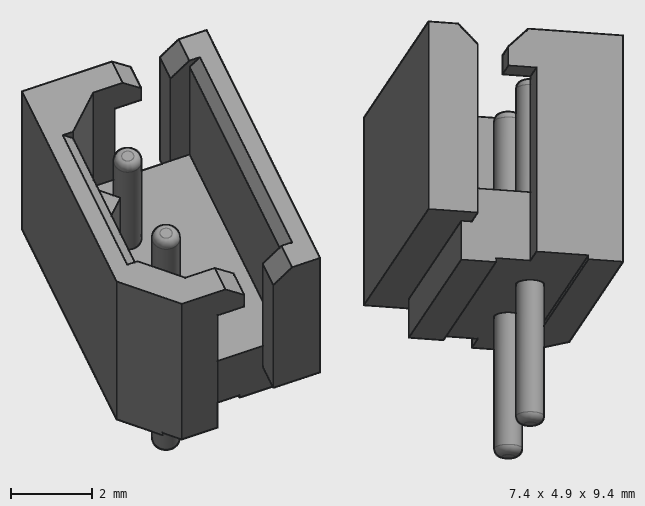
import cadquery as cq


width = 7.4
depth = 4.9
height = 5.88
corner_chamfer = 1.23

side_wall = 0.7
front_wall = 0.705
back_wall = 0.73
cavity_depth = 4.0
cavity_corner = 0.9
lead_in = 0.27
key_size = 0.4

shell_depth = 2.18
lip_reach = 2.89
lip_height = 1.0
post_depth = 1.24
entry_chamfer = 0.5

rear_height = 4.88
base_depth = 3.92
foot_height = 0.1
foot_length = 0.87

pin_diameter = 0.7
pin_pitch = 2.5
pin_y = 1.805
overall_height = 9.4
pin_tip_recess = 0.5
pin_rounding = 0.2

pin_length = overall_height - pin_tip_recess
pin_top = height - pin_tip_recess
center_x = width / 2
cavity_width = width - 2 * side_wall
cavity_back = depth - back_wall
cavity_front_width = cavity_width - 2 * cavity_corner
floor_z = height - cavity_depth
post_front = depth - post_depth
rear_bottom = height - rear_height
pin_positions = [(center_x - pin_pitch / 2, pin_y), (center_x + pin_pitch / 2, pin_y)]


def box(x_start, x_end, y_start, y_end, z_start, z_end):
    """Box between the given coordinates."""
    size = (x_end - x_start, y_end - y_start, z_end - z_start)
    return cq.Workplane("XY").box(*size, centered=False).translate((x_start, y_start, z_start))


def side_profile(points, x_start, length):
    """Extrude a closed (Y, Z) outline along X."""
    return cq.Workplane("YZ").workplane(offset=x_start).polyline(points).close().extrude(length)


def outer_block():
    """Full block with one bevelled front corner."""
    block = box(0, width, 0, depth, 0, height)
    return block.edges("|Z and >X and <Y").chamfer(corner_chamfer)


def cavity():
    """Mating cavity, narrowed by bevels at the two front corners."""
    cutter = box(side_wall, width - side_wall, front_wall, cavity_back, floor_z, height)
    return cutter.edges("|Z and <Y").chamfer(cavity_corner)


def lead_in_bevels():
    """Sloped cuts along the top inner edges of the front and back walls."""
    front = side_profile(
        [(front_wall, height - lead_in), (front_wall, height), (front_wall - lead_in, height)],
        center_x - cavity_front_width / 2,
        cavity_front_width,
    )
    back = side_profile(
        [(cavity_back, height - lead_in), (cavity_back, height), (cavity_back + lead_in, height)],
        side_wall,
        cavity_width,
    )
    return front.union(back)


def side_slot(x_start):
    """Slot through one side wall, with a lip at the mouth and bevelled entry edges."""
    outline = [
        (shell_depth, 0),
        (shell_depth, height - lip_height),
        (lip_reach, height - lip_height),
        (lip_reach, height - entry_chamfer),
        (lip_reach - entry_chamfer, height),
        (post_front + entry_chamfer, height),
        (post_front, height - entry_chamfer),
        (post_front, 0),
    ]
    return side_profile(outline, x_start, side_wall)


def underside_cuts():
    """Step below the back wall and relief between the front and rear feet."""
    step = box(0, width, base_depth, depth, 0, rear_bottom)
    for x_start in (0, width - side_wall):
        step = step.union(box(x_start, x_start + side_wall, post_front, depth, 0, rear_bottom))
    relief = box(0, width, foot_length, base_depth - foot_length, 0, foot_height)
    return step.union(relief)


def key_rib():
    """Triangular rib on the front wall, ending where the lead-in starts."""
    outline = [
        (center_x - key_size, front_wall),
        (center_x + key_size, front_wall),
        (center_x, front_wall + key_size),
    ]
    rib_height = cavity_depth - lead_in
    return cq.Workplane("XY").workplane(offset=floor_z).polyline(outline).close().extrude(rib_height)


def pin_holes():
    """Holes through the floor that hold the pins."""
    plane = cq.Workplane("XY").pushPoints(pin_positions)
    return plane.circle(pin_diameter / 2).extrude(floor_z)


def make_housing():
    body = outer_block().cut(cavity()).cut(lead_in_bevels())
    for x_start in (0, width - side_wall):
        body = body.cut(side_slot(x_start))
    return body.cut(underside_cuts()).union(key_rib()).cut(pin_holes())


def make_pin(x, y):
    """Round pin with both ends rounded."""
    pin = cq.Workplane("XY").circle(pin_diameter / 2).extrude(-pin_length)
    return pin.faces("<Z or >Z").edges().fillet(pin_rounding).translate((x, y, pin_top))


housing = make_housing()
pins = [make_pin(x, y) for x, y in pin_positions]

result = cq.Compound.makeCompound([housing.solids().val(), *[pin.val() for pin in pins]])